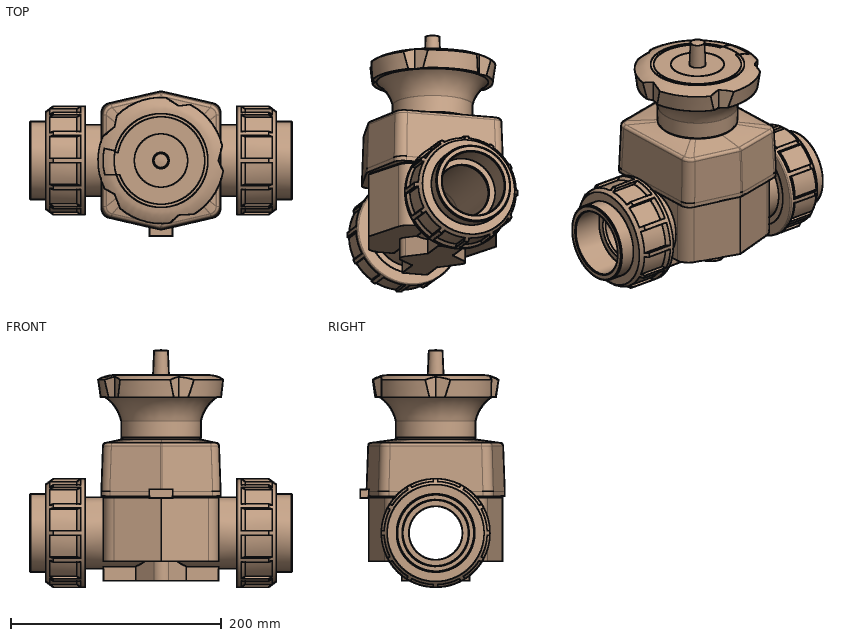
import cadquery as cq
import math


BORE_RADIUS = 25.3
OVERALL_LENGTH = 249.0
PIPE_RADIUS = 34.1
CONNECTOR_RADIUS = 37.2
THREAD_RADIUS = 40.3
JOINT_X = 92.3

CONNECTOR_END_X = OVERALL_LENGTH / 2
SOCKET_RADIUS = 31.1
SOCKET_DEPTH = 29.0
SOCKET_CHAMFER = 0.7
CONNECTOR_CHAMFER = 1.0

NUT_INNER_X = 71.7
NUT_OUTER_X = 109.5
NUT_RADIUS = 51.55
NUT_FACE_RADIUS = 46.0
NUT_CHAMFER_LENGTH = 7.5
NUT_EDGE_FILLET = 1.0
NUT_LIP = 8.5
FLANGE_END_X = NUT_OUTER_X - NUT_LIP
GRIP_FLOOR_RADIUS = 48.9
GRIP_CUT_MARGIN = 1.0
GRIP_START_X = 76.0
GRIP_RAMP_LENGTH = 3.7
RIB_COUNT = 12
RIB_WIDTH = 4.3

BODY_SLOPE = math.radians(18)
BODY_HALF_X = 54.6
BODY_APEX_Y = 63.5
BODY_CORNER_RADIUS = 14.0
BODY_BOTTOM_Z = -27.0
SPLIT_Z = 35.0
BODY_TOP_CHAMFER = 1.5
FOOT_BOTTOM_Z = -45.5
FOOT_HALF_Y = 12.4
BOSS_RADIUS = 10.0
BOSS_REACH_Y = 32.3
BOSS_FLANK_ANGLE = math.radians(45)

BONNET_SLOPE = math.radians(13)
BONNET_HALF_X = 56.7
BONNET_APEX_Y = 65.8
BONNET_CORNER_RADIUS = 10.2
BONNET_APEX_FILLET = 4.0
BONNET_BAND_HEIGHT = 4.5
BONNET_SHOULDER_Z = 85.6
BONNET_DRAFT = 2.0
BONNET_FILLET = 3.0
ROOF_TOP_RADIUS = 36.8
WHEEL_BOTTOM_Z = 89.0
TAB_WIDTH = 22.0
TAB_OUTER_Y = 71.67
TAB_BOTTOM_Z = 33.1
TAB_TOP_Z = 41.3

WHEEL_NECK_RADIUS = 38.0
WHEEL_NECK_TOP_Z = 106.5
WHEEL_NECK_CHAMFER = 1.6
FLARE_MID = (43.5, 119.3)
FLARE_TOP_RADIUS = 53.0
RIM_BOTTOM_Z = 128.8
RIM_BOTTOM_RADIUS = 57.4
RIM_TOP_Z = 145.3
RIM_TOP_RADIUS = 59.8
DOME_START_RADIUS = 44.5
WHEEL_TOP_Z = 150.0
NOTCH_COUNT = 5
NOTCH_VALLEY_RADIUS = 54.4
NOTCH_LONG_ANGLE = 13.5
NOTCH_SHORT_ANGLE = 9.5
NOTCH_OVERRUN = 1.5
MARK_DEPTH = 0.2
HUB_MARK_RADIUS = 25.3
RING_MARK_INNER_RADIUS = 41.5
RING_MARK_OUTER_RADIUS = DOME_START_RADIUS
POINTER_OUTER_RADIUS = 55.0
POINTER_SIDE_Y = -13.5
POINTER_SIDE_ANGLE = 168.0
RING_END_ANGLE = 169.7

STEM_TOP_Z = 173.63
STEM_TIP_RISE = 0.6
STEM_BASE_RADIUS = 7.7
STEM_TOP_RADIUS = 6.7


def polar(radius, degrees):
    angle = math.radians(degrees)
    return (radius * math.cos(angle), radius * math.sin(angle))


def revolve_about_x(profile):
    return profile.revolve(360, (0, 0, 0), (1, 0, 0))


def on_both_ends(part):
    return [part, part.mirror("YZ")]


def hex_corners(half_x, apex_y, slope):
    """Corners of a hexagon with walls at +-X and a blunt ridge at +-Y, counter-clockwise."""
    side_y = apex_y - half_x * math.tan(slope)
    front_half = [(-half_x, -side_y), (0, -apex_y), (half_x, -side_y)]
    return front_half + [(-x, -y) for x, y in front_half]


def hex_prism(half_x, apex_y, slope, corner_radius, height, draft=0):
    corners = hex_corners(half_x, apex_y, slope)
    prism = cq.Workplane("XY").polyline(corners).close().extrude(height, taper=draft)
    return prism.edges("not #Z").edges(">X or <X").fillet(corner_radius)


def make_foot():
    height = -FOOT_BOTTOM_Z
    strip = cq.Workplane("XY").box(2 * BODY_HALF_X, 2 * FOOT_HALF_Y, height, centered=(True, True, False))
    centre_y = BOSS_REACH_Y - BOSS_RADIUS
    tangent_x = BOSS_RADIUS * math.sin(BOSS_FLANK_ANGLE)
    tangent_y = centre_y + BOSS_RADIUS * math.cos(BOSS_FLANK_ANGLE)
    base_x = tangent_x + (tangent_y - FOOT_HALF_Y) / math.tan(BOSS_FLANK_ANGLE)
    boss = (
        cq.Workplane("XY")
        .moveTo(base_x, FOOT_HALF_Y)
        .lineTo(tangent_x, tangent_y)
        .threePointArc((0, BOSS_REACH_Y), (-tangent_x, tangent_y))
        .lineTo(-base_x, FOOT_HALF_Y)
        .lineTo(-base_x, -FOOT_HALF_Y)
        .lineTo(-tangent_x, -tangent_y)
        .threePointArc((0, -BOSS_REACH_Y), (tangent_x, -tangent_y))
        .lineTo(base_x, -FOOT_HALF_Y)
        .close()
        .extrude(height)
    )
    return strip.union(boss).translate((0, 0, FOOT_BOTTOM_Z))


def make_body():
    height = SPLIT_Z - BODY_BOTTOM_Z
    block = hex_prism(BODY_HALF_X, BODY_APEX_Y, BODY_SLOPE, BODY_CORNER_RADIUS, height)
    block = block.translate((0, 0, BODY_BOTTOM_Z)).faces(">Z").edges().chamfer(BODY_TOP_CHAMFER)
    pipe = cq.Workplane("YZ").circle(PIPE_RADIUS).extrude(JOINT_X, both=True)
    collar = cq.Workplane("YZ").circle(THREAD_RADIUS).extrude(JOINT_X - NUT_INNER_X)
    collar = collar.translate((NUT_INNER_X, 0, 0))
    body = block.union(make_foot()).union(pipe)
    for end_collar in on_both_ends(collar):
        body = body.union(end_collar)
    bore = cq.Workplane("YZ").circle(BORE_RADIUS).extrude(JOINT_X, both=True)
    return body.cut(bore)


def make_connector():
    socket_floor_x = CONNECTOR_END_X - SOCKET_DEPTH
    profile = (
        cq.Workplane("XY")
        .moveTo(JOINT_X, BORE_RADIUS)
        .lineTo(JOINT_X, THREAD_RADIUS)
        .lineTo(FLANGE_END_X, THREAD_RADIUS)
        .lineTo(FLANGE_END_X, CONNECTOR_RADIUS)
        .lineTo(CONNECTOR_END_X - CONNECTOR_CHAMFER, CONNECTOR_RADIUS)
        .lineTo(CONNECTOR_END_X, CONNECTOR_RADIUS - CONNECTOR_CHAMFER)
        .lineTo(CONNECTOR_END_X, SOCKET_RADIUS + SOCKET_CHAMFER)
        .lineTo(CONNECTOR_END_X - SOCKET_CHAMFER, SOCKET_RADIUS)
        .lineTo(socket_floor_x, SOCKET_RADIUS)
        .lineTo(socket_floor_x, BORE_RADIUS)
        .close()
    )
    return revolve_about_x(profile)


def make_grip_pockets():
    outer_radius = NUT_RADIUS + GRIP_CUT_MARGIN
    ramp_run = GRIP_RAMP_LENGTH / (NUT_RADIUS - GRIP_FLOOR_RADIUS)
    pockets = revolve_about_x(
        cq.Workplane("XY")
        .moveTo(GRIP_START_X + GRIP_RAMP_LENGTH, GRIP_FLOOR_RADIUS)
        .lineTo(GRIP_START_X - GRIP_CUT_MARGIN * ramp_run, outer_radius)
        .lineTo(NUT_OUTER_X, outer_radius)
        .lineTo(NUT_OUTER_X, GRIP_FLOOR_RADIUS)
        .close()
    )
    for i in range(RIB_COUNT // 2):
        rib = cq.Workplane("XY").box(2 * NUT_OUTER_X, RIB_WIDTH, 2 * outer_radius)
        pockets = pockets.cut(rib.rotate((0, 0, 0), (1, 0, 0), i * 360 / RIB_COUNT))
    return pockets


def make_nut():
    blank = revolve_about_x(
        cq.Workplane("XY")
        .moveTo(NUT_INNER_X, THREAD_RADIUS)
        .lineTo(NUT_INNER_X, NUT_RADIUS)
        .lineTo(NUT_OUTER_X - NUT_CHAMFER_LENGTH, NUT_RADIUS)
        .lineTo(NUT_OUTER_X, NUT_FACE_RADIUS)
        .lineTo(NUT_OUTER_X, CONNECTOR_RADIUS)
        .lineTo(FLANGE_END_X, CONNECTOR_RADIUS)
        .lineTo(FLANGE_END_X, THREAD_RADIUS)
        .close()
    )
    blank = blank.faces("<X").edges(cq.selectors.RadiusNthSelector(-1)).fillet(NUT_EDGE_FILLET)
    return blank.cut(make_grip_pockets())


def corner_arc(half_x, apex_y, corner_radius):
    """Start, middle and end of the rounded +X +Y corner, counter-clockwise."""
    turn = math.pi / 2 - BONNET_SLOPE
    side_y = apex_y - half_x * math.tan(BONNET_SLOPE)
    centre_x = half_x - corner_radius
    centre_y = side_y - corner_radius * math.tan(turn / 2)
    return [
        (centre_x + corner_radius * math.cos(angle), centre_y + corner_radius * math.sin(angle))
        for angle in (0, turn / 2, turn)
    ]


def make_roof(half_x, apex_y, corner_radius):
    """Ruled rise from the shoulder outline to the circle under the handwheel."""
    start, middle, end = corner_arc(half_x, apex_y, corner_radius)

    def flip(point, sign_x, sign_y):
        return (point[0] * sign_x, point[1] * sign_y)

    half_outline = [
        [flip(start, 1, -1), start],
        [start, middle, end],
        [end, (0, apex_y)],
        [(0, apex_y), flip(end, -1, 1)],
        [flip(end, -1, 1), flip(middle, -1, 1), flip(start, -1, 1)],
    ]
    outline = half_outline + [[flip(p, -1, -1) for p in stretch] for stretch in half_outline]

    lower_edges = []
    upper_edges = []
    for stretch in outline:
        flat = [cq.Vector(x, y, 0) for x, y in stretch]
        shoulder = [p + cq.Vector(0, 0, BONNET_SHOULDER_Z) for p in flat]
        if len(flat) == 2:
            lower_edges.append(cq.Edge.makeLine(*shoulder))
        else:
            lower_edges.append(cq.Edge.makeThreePointArc(*shoulder))
        directions = [flat[0], flat[0] + flat[-1], flat[-1]]
        ring = [d.normalized() * ROOF_TOP_RADIUS + cq.Vector(0, 0, WHEEL_BOTTOM_Z) for d in directions]
        upper_edges.append(cq.Edge.makeThreePointArc(*ring))
    wires = [cq.Wire.assembleEdges(edges) for edges in (lower_edges, upper_edges)]
    return cq.Workplane(cq.Solid.makeLoft(wires, True))


def bonnet_prism(bottom_z, height, draft=0):
    prism = hex_prism(BONNET_HALF_X, BONNET_APEX_Y, BONNET_SLOPE, BONNET_CORNER_RADIUS, height, draft)
    prism = prism.edges("not #Z").edges(">Y or <Y").fillet(BONNET_APEX_FILLET)
    return prism.translate((0, 0, bottom_z))


def make_tab():
    length = TAB_OUTER_Y - BODY_APEX_Y / 2
    tab = cq.Workplane("XY").box(TAB_WIDTH, length, TAB_TOP_Z - TAB_BOTTOM_Z, centered=(True, False, False))
    tab = tab.translate((0, -TAB_OUTER_Y, TAB_BOTTOM_Z))
    body_space = cq.Workplane("XY").box(TAB_WIDTH, 2 * BODY_APEX_Y, 2 * SPLIT_Z)
    return tab.cut(body_space)


def make_bonnet():
    cover_bottom_z = SPLIT_Z + BONNET_BAND_HEIGHT
    cover_height = BONNET_SHOULDER_Z - cover_bottom_z
    band = bonnet_prism(SPLIT_Z, BONNET_BAND_HEIGHT)
    cover = bonnet_prism(cover_bottom_z, cover_height, BONNET_DRAFT)
    cover = cover.faces(">Z").edges().fillet(BONNET_FILLET)
    inset = cover_height * math.tan(math.radians(BONNET_DRAFT)) + BONNET_FILLET
    roof = make_roof(
        BONNET_HALF_X - inset,
        BONNET_APEX_Y - inset / math.cos(BONNET_SLOPE),
        BONNET_CORNER_RADIUS - BONNET_FILLET,
    )
    return band.union(cover).union(roof).union(make_tab())


def make_wheel_blank():
    drop = RIM_TOP_RADIUS - DOME_START_RADIUS
    rise = WHEEL_TOP_Z - RIM_TOP_Z
    dome_radius = (drop**2 + rise**2) / (2 * rise)
    half_sweep = math.degrees(math.asin(drop / dome_radius)) / 2
    mid_r, mid_z = polar(dome_radius, 90 - half_sweep)
    dome_mid = (DOME_START_RADIUS + mid_r, WHEEL_TOP_Z - dome_radius + mid_z)
    return (
        cq.Workplane("XZ")
        .moveTo(0, WHEEL_BOTTOM_Z)
        .lineTo(WHEEL_NECK_RADIUS - WHEEL_NECK_CHAMFER, WHEEL_BOTTOM_Z)
        .lineTo(WHEEL_NECK_RADIUS, WHEEL_BOTTOM_Z + WHEEL_NECK_CHAMFER)
        .lineTo(WHEEL_NECK_RADIUS, WHEEL_NECK_TOP_Z)
        .threePointArc(FLARE_MID, (FLARE_TOP_RADIUS, RIM_BOTTOM_Z))
        .lineTo(RIM_BOTTOM_RADIUS, RIM_BOTTOM_Z)
        .lineTo(RIM_TOP_RADIUS, RIM_TOP_Z)
        .threePointArc(dome_mid, (DOME_START_RADIUS, WHEEL_TOP_Z))
        .lineTo(0, WHEEL_TOP_Z)
        .close()
        .revolve(360, (0, 0, 0), (0, 1, 0))
    )


def make_notch(direction):
    """Uneven upright V whose flanks leave the rim at the short and the long angle."""
    valley = cq.Vector(NOTCH_VALLEY_RADIUS, 0)

    def flank_end(angle):
        rim_point = cq.Vector(*polar(RIM_TOP_RADIUS, angle))
        return valley + (rim_point - valley) * NOTCH_OVERRUN

    notch = (
        cq.Workplane("XY")
        .workplane(offset=RIM_BOTTOM_Z)
        .polyline([valley, flank_end(-NOTCH_SHORT_ANGLE), flank_end(NOTCH_LONG_ANGLE)])
        .close()
        .extrude(WHEEL_TOP_Z - RIM_BOTTOM_Z)
    )
    return notch.rotate((0, 0, 0), (0, 0, 1), direction)


def make_mark_prisms():
    """Upright prisms over the marks: a C-shaped ring, a pointer at -X and the hub disc."""
    height = WHEEL_TOP_Z - RIM_BOTTOM_Z

    def side_point(radius):
        return (-math.sqrt(radius**2 - POINTER_SIDE_Y**2), POINTER_SIDE_Y)

    ring = (
        cq.Workplane("XY")
        .moveTo(*side_point(RING_MARK_INNER_RADIUS))
        .threePointArc((RING_MARK_INNER_RADIUS, 0), polar(RING_MARK_INNER_RADIUS, RING_END_ANGLE))
        .lineTo(*polar(RING_MARK_OUTER_RADIUS, RING_END_ANGLE))
        .threePointArc((RING_MARK_OUTER_RADIUS, 0), side_point(RING_MARK_OUTER_RADIUS))
        .close()
        .extrude(height)
    )
    pointer = (
        cq.Workplane("XY")
        .moveTo(*side_point(RING_MARK_OUTER_RADIUS))
        .lineTo(*side_point(POINTER_OUTER_RADIUS))
        .threePointArc((-POINTER_OUTER_RADIUS, 0), polar(POINTER_OUTER_RADIUS, POINTER_SIDE_ANGLE))
        .lineTo(*polar(RING_MARK_OUTER_RADIUS, POINTER_SIDE_ANGLE))
        .threePointArc((-RING_MARK_OUTER_RADIUS, 0), side_point(RING_MARK_OUTER_RADIUS))
        .close()
        .extrude(height)
    )
    hub = cq.Workplane("XY").circle(HUB_MARK_RADIUS).extrude(height)
    return [mark.translate((0, 0, RIM_BOTTOM_Z)) for mark in (ring, pointer, hub)]


def make_wheel():
    blank = make_wheel_blank()
    lowered = blank.translate((0, 0, -MARK_DEPTH))
    wheel = blank
    for prism in make_mark_prisms():
        wheel = wheel.cut(prism.cut(lowered))
    for i in range(NOTCH_COUNT):
        wheel = wheel.cut(make_notch(i * 360 / NOTCH_COUNT))
    return wheel


def make_stem():
    seat_z = WHEEL_TOP_Z - MARK_DEPTH
    shaft_top_z = STEM_TOP_Z - STEM_TIP_RISE
    return (
        cq.Workplane("XZ")
        .moveTo(0, seat_z)
        .lineTo(STEM_BASE_RADIUS, seat_z)
        .lineTo(STEM_TOP_RADIUS, shaft_top_z)
        .lineTo(0, STEM_TOP_Z)
        .close()
        .revolve(360, (0, 0, 0), (0, 1, 0))
    )


body = make_body()
bonnet = make_bonnet()
handwheel = make_wheel()
stem = make_stem()
connectors = on_both_ends(make_connector())
nuts = on_both_ends(make_nut())

bodies = [body, bonnet, handwheel, stem] + connectors + nuts
result = cq.Compound.makeCompound([item.solids().val() for item in bodies])